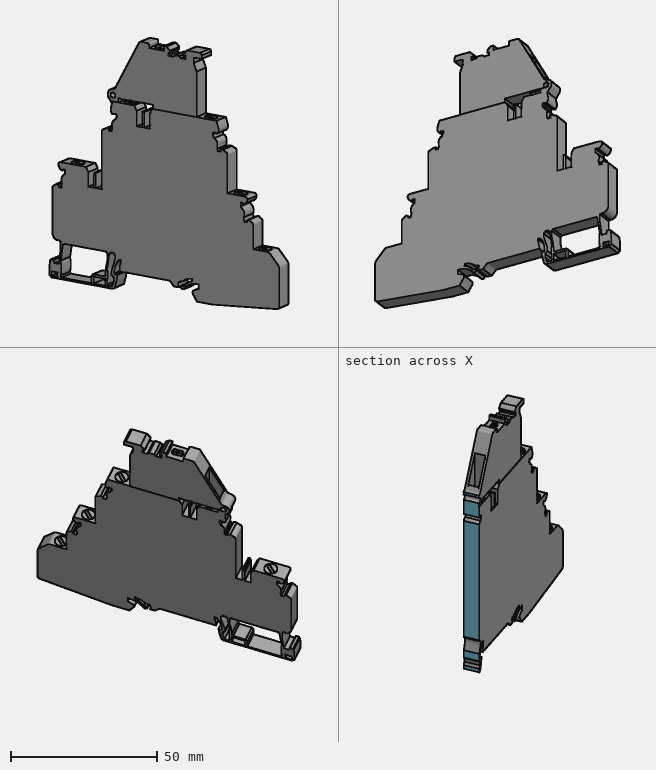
import cadquery as cq


LENGTH = 94.5
HEIGHT = 90.1
DEPTH = 6.0

LEVER_SHIFT = 0.1
BODY_DEPTH = DEPTH - LEVER_SHIFT
MID_DEPTH = DEPTH / 2

LOW_TOP = 41.8
HIGH_TOP = 66.9
TOE_TOP = 23.5
LOW_LEFT = 1.2
LOW_RIGHT = 83.8
HIGH_LEFT = 21.5
HIGH_RIGHT = 73.2
LOW_CENTRE = (LOW_LEFT + LOW_RIGHT) / 2
HIGH_CENTRE = (HIGH_LEFT + HIGH_RIGHT) / 2
RAIL_TOP = 6.7
FOOT_WALL = 0.7
FOOT_CEILING = 12.85
STEP_OPENING_SPAN = (18.2, 23.1)
STEP_OPENING_TOP = 3.1
TOE_OPENING_SPAN = (1.0, 3.3)
TOE_OPENING_TOP = 2.2

LOW_SLOT_LEFT = 16.1
LOW_SLOT_FLOOR = 34.9
HIGH_SLOT_LEFT = 35.9
HIGH_SLOT_RIGHT = 41.3
HIGH_SLOT_FLOOR = 59.6
SLOT_FLARE_WIDTH = 1.0
SLOT_FLARE_HEIGHT = 1.7
HIGH_PIN_LEFT = 38.3
HIGH_PIN_RIGHT = 38.9
HIGH_PIN_TOP = 65.2

GAP_LEFT = 28.35
GAP_RIGHT = 42.5
GAP_TOP = 68.3

LEVER_LEFT = 25.3
LEVER_RIGHT = 60.5
HINGE_X = 26.1
HINGE_Z = 69.2
HINGE_RADIUS = 2.2
HINGE_DEPTH = BODY_DEPTH - LEVER_SHIFT
HINGE_HOLE_DIAMETER = 1.9
WINDOW_LEFT = 27.8
WINDOW_RIGHT = 33.2
WINDOW_DEPTH = 4.0

RECESS_LEFT = 40.9
RECESS_RIGHT = 47.1
RECESS_FLOOR = 88.4
POCKET_LENGTH = 4.3
POCKET_WIDTH = 2.1
POCKET_DEPTH = 0.9
POST_WIDTH = 1.2
POST_DEPTH = 1.1
POST_PITCH = 1.8
POST_TOP = 89.3

SCREW_DIAMETER = 4.5
SCREW_SINK = 0.2
SCREW_SLOT_WIDTH = 1.0
SCREW_SLOT_DEPTH = 0.6
SCREW_SLOT_ANGLE = -45
SCREWS = [
    (9.8, LOW_TOP),
    (31.6, HIGH_TOP),
    (64.5, HIGH_TOP),
    (76.8, LOW_TOP),
    (86.75, TOE_TOP),
]


def trace(path, depth=BODY_DEPTH, front=0.0):
    """Extrude a closed X-Z path; a pair of points in the path is an arc (through, end)."""
    sketch = cq.Workplane("XZ", origin=(0, front, 0)).moveTo(*path[0])
    for step in path[1:]:
        if isinstance(step[0], tuple):
            sketch = sketch.threePointArc(*step)
        else:
            sketch = sketch.lineTo(*step)
    return sketch.close().extrude(-depth)


def block(left, right, bottom, top, depth, front):
    size = (right - left, depth, top - bottom)
    return cq.Workplane("XY").box(*size, centered=False).translate((left, front, bottom))


def mirrored(shape, centre):
    return shape.mirror("YZ", (centre, 0, 0))


def housing():
    terraces = [
        (LOW_LEFT, LOW_TOP),
        (HIGH_LEFT, LOW_TOP),
        (HIGH_LEFT, HIGH_TOP),
        (HIGH_RIGHT, HIGH_TOP),
        (HIGH_RIGHT, LOW_TOP),
        (LOW_RIGHT, LOW_TOP),
        (LOW_RIGHT, TOE_TOP),
    ]
    toe = [
        (89.9, TOE_TOP),
        ((90.3, 23.3), (90.8, 23.0)),
        (93.9, 19.7),
        ((94.3, 19.1), (LENGTH, 18.3)),
        (LENGTH, 4.9),
        ((94.2, 4.1), (93.4, 3.7)),
        (67.1, 1.0),
        (60.7, 1.0),
    ]
    rail_clip = [
        (59.25, 3.2),
        ((58.9, 4.25), (59.5, 5.0)),
        (61.3, 5.7),
        (61.3, 7.3),
        (59.7, 7.3),
        ((57.2, 6.3), (55.2, 4.5)),
        ((54.5, 4.6), (54.1, 5.3)),
        (54.15, 5.8),
        (55.3, 5.8),
        ((56.8, 7.2), (58.7, 8.0)),
        (58.6, 8.8),
        ((56.6, 8.5), (54.9, 7.4)),
        (53.4, 7.0),
        (52.9, 6.5),
        (53.1, 4.9),
        (51.3, 4.9),
        (49.9, 6.3),
        ((49.6, 6.6), (49.0, RAIL_TOP)),
    ]
    rail_hook = [
        (28.8, RAIL_TOP),
        (28.9, 8.1),
        (29.5, 10.7),
        (28.6, 10.7),
        ((27.3, 8.8), (26.7, 5.7)),
        (26.9, 5.2),
        (28.0, 5.3),
        (27.6, 3.0),
    ]
    foot = [
        (27.0, 1.0),
        ((26.65, 0.4), (25.8, 0)),
        (0.85, 0),
        (0, 0.85),
        (0, 4.1),
        (0.3, 6.0),
        (0.6, 6.4),
        (1.8, 6.4),
        (2.0, 5.3),
        (3.9, 5.4),
        (4.25, 8.4),
        (4.5, 10.4),
        (4.5, 13.4),
        (3.9, 13.7),
        ((2.1, 14.2), (LOW_LEFT, 15.9)),
    ]
    return trace(terraces + toe + rail_clip + rail_hook + foot)


def foot_openings():
    main_opening = trace([
        (7.6, FOOT_CEILING),
        (6.05, FOOT_CEILING),
        (5.6, 12.4),
        (4.9, 7.8),
        (4.6, 6.6),
        (4.9, 5.4),
        (4.9, 2.5),
        (4.6, 1.3),
        (5.0, FOOT_WALL),
        (17.3, FOOT_WALL),
        (17.3, 3.2),
        (18.0, 4.0),
        (22.5, 4.0),
        (23.1, 4.5),
        (23.15, 6.9),
        (23.8, 9.9),
        (23.8, 12.3),
        (23.2, FOOT_CEILING),
    ])
    spring_opening = trace([
        (25.2, FOOT_CEILING),
        (24.7, 12.3),
        (23.8, 6.9),
        (24.0, 5.3),
        (23.8, 1.2),
        (24.3, FOOT_WALL),
        (25.7, 0.9),
        (26.5, 2.7),
        (26.5, 4.1),
        (25.5, 5.0),
        (25.5, 6.1),
        (27.0, 10.9),
        (27.0, 12.0),
        (26.3, FOOT_CEILING),
    ])
    step_opening = block(*STEP_OPENING_SPAN, FOOT_WALL, STEP_OPENING_TOP, BODY_DEPTH, 0)
    toe_opening = block(*TOE_OPENING_SPAN, FOOT_WALL, TOE_OPENING_TOP, BODY_DEPTH, 0)
    return main_opening.union(spring_opening).union(step_opening).union(toe_opening)


def low_catch():
    """Marker-strip catch cut into the left end of the lower terrace."""
    return trace([
        (0, 32.2),
        (LOW_LEFT, 32.2),
        ((1.4, 32.7), (1.8, 33.0)),
        (3.0, 33.8),
        (3.7, 33.55),
        (3.9, 32.8),
        (4.8, 32.7),
        (5.2, 34.2),
        ((4.9, 35.9), (5.7, 37.2)),
        (6.4, 38.0),
        (6.4, 39.3),
        (5.7, 39.3),
        (5.3, 38.8),
        ((4.25, 39.5), (3.6, 40.9)),
        ((4.0, 41.5), (4.6, LOW_TOP)),
        (0, LOW_TOP),
    ])


def high_catch():
    """Marker-strip catch cut into the left end of the upper terrace."""
    return trace([
        (HIGH_LEFT - 0.9, 55.6),
        (HIGH_LEFT, 55.6),
        ((21.7, 56.0), (22.3, 56.4)),
        (23.5, 57.0),
        (24.6, 57.1),
        (24.4, 56.2),
        (25.4, 56.1),
        (25.8, 57.0),
        (25.8, 58.0),
        ((25.9, 59.5), (27.0, 60.6)),
        (27.7, 61.8),
        (27.4, 62.6),
        (26.65, 62.6),
        (26.0, 62.3),
        ((25.3, 63.1), (25.2, 64.3)),
        (25.5, 65.4),
        (26.1, HIGH_TOP),
        (HIGH_LEFT - 0.9, HIGH_TOP),
    ])


def low_slot():
    """Slot in the lower terrace, open to the wall of the upper one."""
    return trace([
        (LOW_SLOT_LEFT, LOW_SLOT_FLOOR),
        (HIGH_LEFT, LOW_SLOT_FLOOR),
        (HIGH_LEFT, LOW_TOP),
        (LOW_SLOT_LEFT - SLOT_FLARE_WIDTH, LOW_TOP),
        (LOW_SLOT_LEFT, LOW_TOP - SLOT_FLARE_HEIGHT),
    ])


def high_slot():
    """Slot in the upper terrace with both rims flared."""
    flare_bottom = HIGH_TOP - SLOT_FLARE_HEIGHT
    return trace([
        (HIGH_SLOT_LEFT, HIGH_SLOT_FLOOR),
        (HIGH_SLOT_RIGHT, HIGH_SLOT_FLOOR),
        (HIGH_SLOT_RIGHT, flare_bottom),
        (HIGH_SLOT_RIGHT + SLOT_FLARE_WIDTH, HIGH_TOP),
        (HIGH_SLOT_LEFT - SLOT_FLARE_WIDTH, HIGH_TOP),
        (HIGH_SLOT_LEFT, flare_bottom),
    ])


def pins():
    low_pin = trace([
        (18.2, LOW_SLOT_FLOOR),
        (18.2, 39.4),
        (18.6, 40.3),
        (19.2, 40.3),
        (19.2, LOW_SLOT_FLOOR),
    ])
    high_pin = block(HIGH_PIN_LEFT, HIGH_PIN_RIGHT, HIGH_SLOT_FLOOR, HIGH_PIN_TOP, BODY_DEPTH, 0)
    return low_pin.union(high_pin)


def hinge():
    """Barrel at the lever's left end and the web that carries it."""
    barrel = (
        cq.Workplane("XZ", origin=(HINGE_X, LEVER_SHIFT, HINGE_Z))
        .circle(HINGE_RADIUS)
        .extrude(-HINGE_DEPTH)
    )
    web = trace([
        (25.5, 65.4),
        (25.5, 66.2),
        (24.3, 68.0),
        (HINGE_X, HINGE_Z),
        (GAP_LEFT, GAP_TOP),
        (GAP_LEFT, 65.4),
    ], HINGE_DEPTH, LEVER_SHIFT)
    return barrel.union(web)


def hinge_hole():
    return (
        cq.Workplane("XZ", origin=(HINGE_X, 0, HINGE_Z))
        .circle(HINGE_HOLE_DIAMETER / 2)
        .extrude(-DEPTH)
    )


def lever():
    return trace([
        (LEVER_LEFT, GAP_TOP),
        (LEVER_LEFT, HINGE_Z),
        (HINGE_X, HINGE_Z + HINGE_RADIUS),
        ((26.6, 71.4), (26.9, 71.8)),
        (36.8, 89.6),
        ((37.1, 90.0), (37.5, HEIGHT)),
        (40.35, HEIGHT),
        ((40.7, 89.9), (RECESS_LEFT, 89.5)),
        (RECESS_LEFT, RECESS_FLOOR),
        (RECESS_RIGHT, RECESS_FLOOR),
        (RECESS_RIGHT, HEIGHT),
        (48.2, HEIGHT),
        (49.5, 88.8),
        (49.5, 88.0),
        (48.9, 87.9),
        (48.9, 86.8),
        (50.7, 86.8),
        (51.5, 87.5),
        (53.4, 87.5),
        (54.1, 86.8),
        (55.85, 86.8),
        (55.85, 88.0),
        (55.1, 88.0),
        (55.0, 88.6),
        (56.5, HEIGHT),
        (61.9, HEIGHT),
        ((62.4, 89.8), (62.7, 89.3)),
        (62.7, 88.0),
        (59.9, 88.0),
        ((59.4, 87.8), (59.25, 87.3)),
        (59.25, 86.0),
        (LEVER_RIGHT, 83.2),
        (LEVER_RIGHT, HIGH_TOP),
        (GAP_RIGHT, HIGH_TOP),
        (GAP_RIGHT, GAP_TOP),
    ], BODY_DEPTH, LEVER_SHIFT)


def lever_window():
    """Upright shaft from the sloping edge down to the gap under the lever."""
    front = MID_DEPTH - WINDOW_DEPTH / 2
    return block(WINDOW_LEFT, WINDOW_RIGHT, GAP_TOP, HEIGHT, WINDOW_DEPTH, front)


def contact_pocket():
    centre = ((RECESS_LEFT + RECESS_RIGHT) / 2, MID_DEPTH)
    pocket = (
        cq.Workplane("XY", origin=(*centre, RECESS_FLOOR))
        .slot2D(POCKET_LENGTH, POCKET_WIDTH)
        .extrude(-POCKET_DEPTH)
    )
    posts = (
        cq.Workplane("XY", origin=(*centre, RECESS_FLOOR - POCKET_DEPTH))
        .rarray(POST_PITCH, 0.9, 2, 1)
        .rect(POST_WIDTH, POST_DEPTH)
        .extrude(POST_TOP - RECESS_FLOOR + POCKET_DEPTH)
    )
    return pocket, posts


def screw_cut(x, top):
    """Sunken screw head with a diagonal driver slot."""
    plane = cq.Workplane("XY", origin=(x, MID_DEPTH, top))
    radius = SCREW_DIAMETER / 2
    sink = plane.circle(radius).extrude(-SCREW_SINK)
    bar = (
        plane.transformed(rotate=(0, 0, SCREW_SLOT_ANGLE))
        .rect(SCREW_DIAMETER, SCREW_SLOT_WIDTH)
        .extrude(-SCREW_SLOT_DEPTH)
    )
    slot = plane.circle(radius).extrude(-SCREW_SLOT_DEPTH).intersect(bar)
    return sink.union(slot)


body = housing().cut(foot_openings())
for catch, centre in ((low_catch(), LOW_CENTRE), (high_catch(), HIGH_CENTRE)):
    body = body.cut(catch).cut(mirrored(catch, centre))
body = body.cut(low_slot()).cut(high_slot()).union(pins())
for x, top in SCREWS:
    body = body.cut(screw_cut(x, top))

pocket, posts = contact_pocket()
lever_body = lever().union(hinge()).cut(lever_window()).cut(hinge_hole()).cut(pocket).union(posts)

result = body.union(lever_body)